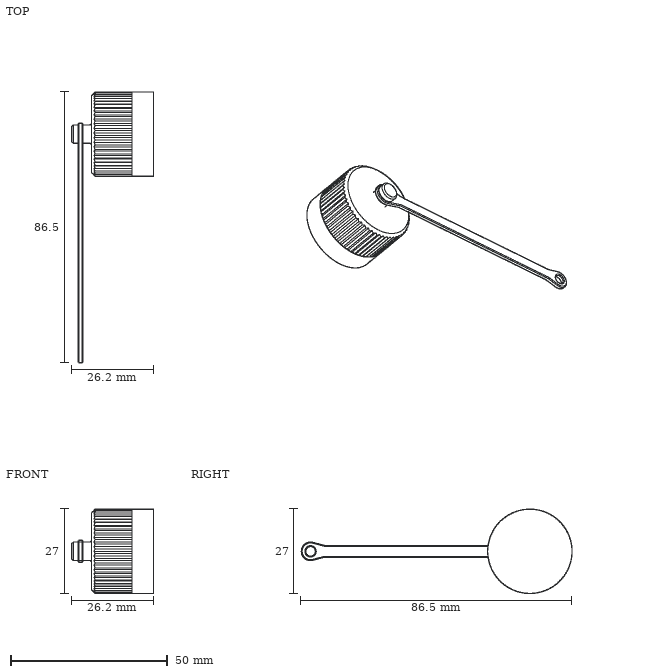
import cadquery as cq
import math

total_length = 26.2
cap_radius = 13.5
cap_front_x = 6.3
cap_front_chamfer = 1.2
knurl_end_x = 19.3
knurl_count = 55
knurl_depth = 0.39

stem_radius = 6.0 / 2
stem_tip_chamfer = 0.5
stem_base_fillet = 0.5

overall_y = 86.5
strap_front_x = 2.1
strap_thickness = 1.6
strap_half_width = 1.9
strap_edge_chamfer = 0.3
stem_eye_radius = 3.55
stem_eye_neck = 6.05
free_eye_radius = 6.0 / 2
free_eye_neck = 4.4
neck_blend_radius = 2.2
free_hole_diameter = 3.0
free_eye_y = cap_radius - overall_y + free_eye_radius


def make_cap_blank():
    """Plain turned cap with a chamfered front edge."""
    length = total_length - cap_front_x
    blank = cq.Workplane("YZ", origin=(cap_front_x, 0, 0)).circle(cap_radius).extrude(length)
    return blank.faces("<X").chamfer(cap_front_chamfer)


def make_knurl_cutter():
    """Ring whose toothed inside leaves sharp V ridges on the cap."""
    points = []
    for step in range(2 * knurl_count):
        angle = math.pi + step * math.pi / knurl_count
        radius = cap_radius - knurl_depth if step % 2 == 0 else cap_radius
        points.append((radius * math.cos(angle), radius * math.sin(angle)))
    length = knurl_end_x - cap_front_x
    section = cq.Workplane("YZ", origin=(cap_front_x, 0, 0))
    toothed_core = section.polyline(points).close().extrude(length)
    return section.circle(cap_radius + knurl_depth).extrude(length).cut(toothed_core)


def make_stem():
    """Round stem with a chamfered tip and a flared root."""
    root_x = cap_front_x - stem_base_fillet
    root_radius = stem_radius + stem_base_fillet
    blend = stem_base_fillet * math.sqrt(0.5)
    profile = (
        cq.Workplane("XY")
        .moveTo(0, 0)
        .lineTo(0, stem_radius - stem_tip_chamfer)
        .lineTo(stem_tip_chamfer, stem_radius)
        .lineTo(root_x, stem_radius)
        .threePointArc((root_x + blend, root_radius - blend), (cap_front_x, root_radius))
        .lineTo(knurl_end_x, root_radius)
        .lineTo(knurl_end_x, 0)
        .close()
    )
    return profile.revolve(360, (0, 0, 0), (1, 0, 0))


def tangent_point(radius, neck):
    """Point on an eye, as (along strap, across strap), where its tangent
    reaches the corner of the straight side."""
    reach = math.hypot(neck, strap_half_width)
    angle = math.atan2(strap_half_width, neck) + math.acos(radius / reach)
    return radius * math.cos(angle), radius * math.sin(angle)


def make_strap():
    """Narrow strap widening tangentially into a round eye at each end."""
    stem_along, stem_across = tangent_point(stem_eye_radius, stem_eye_neck)
    free_along, free_across = tangent_point(free_eye_radius, free_eye_neck)
    stem_tangent_y = -stem_along
    free_tangent_y = free_eye_y + free_along
    stem_neck_y = -stem_eye_neck
    free_neck_y = free_eye_y + free_eye_neck
    outline = (
        cq.Workplane("YZ", origin=(strap_front_x, 0, 0))
        .moveTo(stem_tangent_y, -stem_across)
        .threePointArc((stem_eye_radius, 0), (stem_tangent_y, stem_across))
        .lineTo(stem_neck_y, strap_half_width)
        .lineTo(free_neck_y, strap_half_width)
        .lineTo(free_tangent_y, free_across)
        .threePointArc((free_eye_y - free_eye_radius, 0), (free_tangent_y, -free_across))
        .lineTo(free_neck_y, -strap_half_width)
        .lineTo(stem_neck_y, -strap_half_width)
        .close()
    )
    strap = outline.extrude(strap_thickness)

    for corner_y in (stem_neck_y, free_neck_y):
        for corner_z in (-strap_half_width, strap_half_width):
            corner = (strap_front_x + strap_thickness / 2, corner_y, corner_z)
            strap = strap.edges(cq.NearestToPointSelector(corner)).fillet(neck_blend_radius)

    free_hole = (
        cq.Workplane("YZ", origin=(strap_front_x, 0, 0))
        .center(free_eye_y, 0)
        .circle(free_hole_diameter / 2)
        .extrude(strap_thickness)
    )
    strap = strap.cut(free_hole)
    return strap.faces("<X or >X").edges().chamfer(strap_edge_chamfer)


cap = make_cap_blank().cut(make_knurl_cutter())
result = cap.union(make_stem()).union(make_strap())